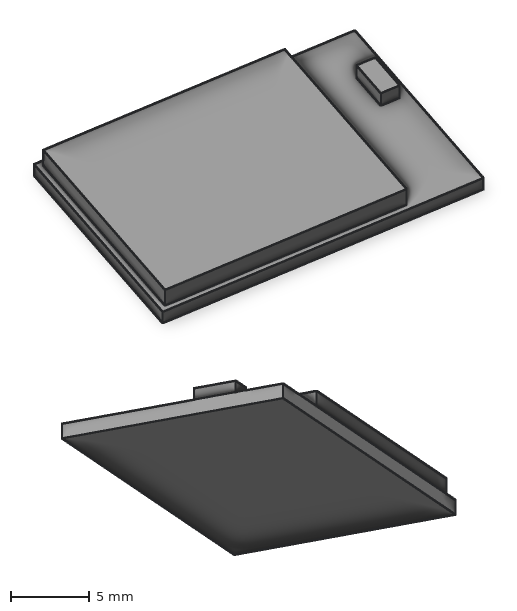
import cadquery as cq

board_width = 15.9
board_length = 23.9
board_thickness = 1.0

overall_height = 2.4
shield_width = 15.05
shield_length = 18.0
shield_front_margin = 0.43
shield_height = overall_height - board_thickness

chip_width = 3.0
chip_length = 1.4
chip_height = 1.1
chip_left_margin = 3.8
chip_back_margin = 0.76

board_left = -board_width / 2
board_front = -board_length / 2
board_back = board_length / 2


def block(width, length, height, left, front, bottom):
    """Rectangular block placed by its left, front, bottom corner."""
    return (
        cq.Workplane("XY")
        .box(width, length, height, centered=False)
        .translate((left, front, bottom))
    )


def make_board():
    return block(board_width, board_length, board_thickness, board_left, board_front, 0)


def make_shield():
    left = -shield_width / 2
    front = board_front + shield_front_margin
    return block(shield_width, shield_length, shield_height, left, front, board_thickness)


def make_chip():
    left = board_left + chip_left_margin
    front = board_back - chip_back_margin - chip_length
    return block(chip_width, chip_length, chip_height, left, front, board_thickness)


board = make_board()
shield = make_shield()
chip = make_chip()

result = cq.Compound.makeCompound([board.val(), shield.val(), chip.val()])